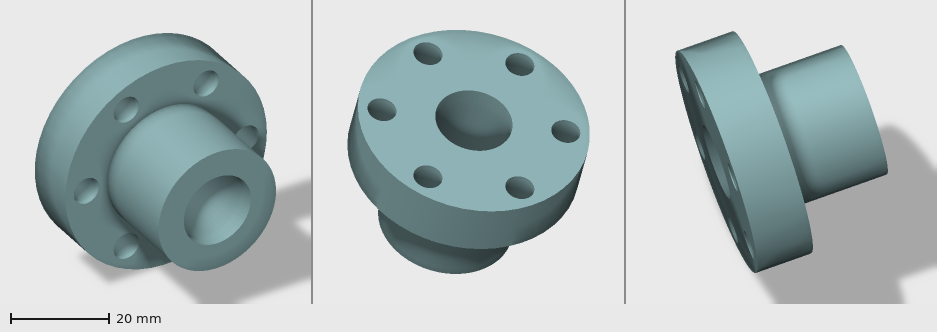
import cadquery as cq

total_length = 32.0
flange_diameter = 48.0
flange_thickness = 12.0
hub_diameter = 28.0
bore_diameter = 16.0
bolt_circle_diameter = 38.0
bolt_hole_diameter = 6.0
bolt_hole_count = 6


def make_body():
    """Flange starting at X = 0 with the hub extending toward +X."""
    flange = cq.Workplane("YZ").circle(flange_diameter / 2).extrude(flange_thickness)
    hub = cq.Workplane("YZ").circle(hub_diameter / 2).extrude(total_length)
    return flange.union(hub)


def make_bore():
    """Central bore through the full length."""
    return cq.Workplane("YZ").circle(bore_diameter / 2).extrude(total_length)


def make_bolt_holes():
    """Evenly spaced through holes in the flange, the first on the +Y side."""
    return (
        cq.Workplane("YZ")
        .polarArray(bolt_circle_diameter / 2, 0, 360, bolt_hole_count)
        .circle(bolt_hole_diameter / 2)
        .extrude(flange_thickness)
    )


result = make_body().cut(make_bore()).cut(make_bolt_holes())